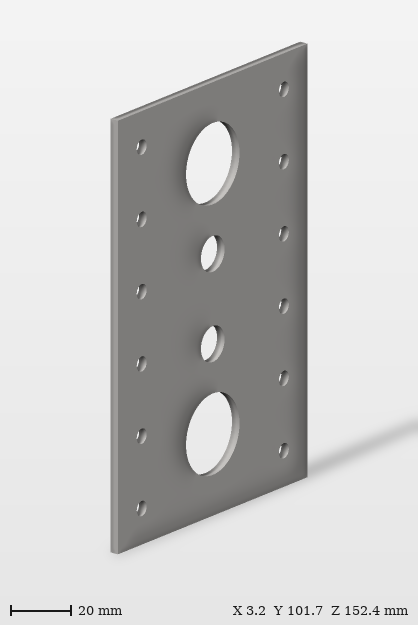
import cadquery as cq

height = 152.4
width = 101.7
thickness = 3.2

mount_diameter = 5.3
mount_rows = 6
mount_pitch = height / mount_rows
mount_column_spacing = 76.2

large_diameter = 28.7
large_offset = 47.5
medium_diameter = 12.6
medium_offset = 15.8


def centreline_pair(plate, diameter, offset):
    """Cut two through holes at equal distances above and below the centre."""
    centres = [(0, -offset), (0, offset)]
    return plate.faces("<X").workplane(origin=(0, 0, 0)).pushPoints(centres).hole(diameter)


plate = cq.Workplane("YZ").box(width, height, thickness)
plate = (
    plate.faces("<X")
    .workplane(origin=(0, 0, 0))
    .rarray(mount_column_spacing, mount_pitch, 2, mount_rows)
    .hole(mount_diameter)
)
plate = centreline_pair(plate, large_diameter, large_offset)
result = centreline_pair(plate, medium_diameter, medium_offset)